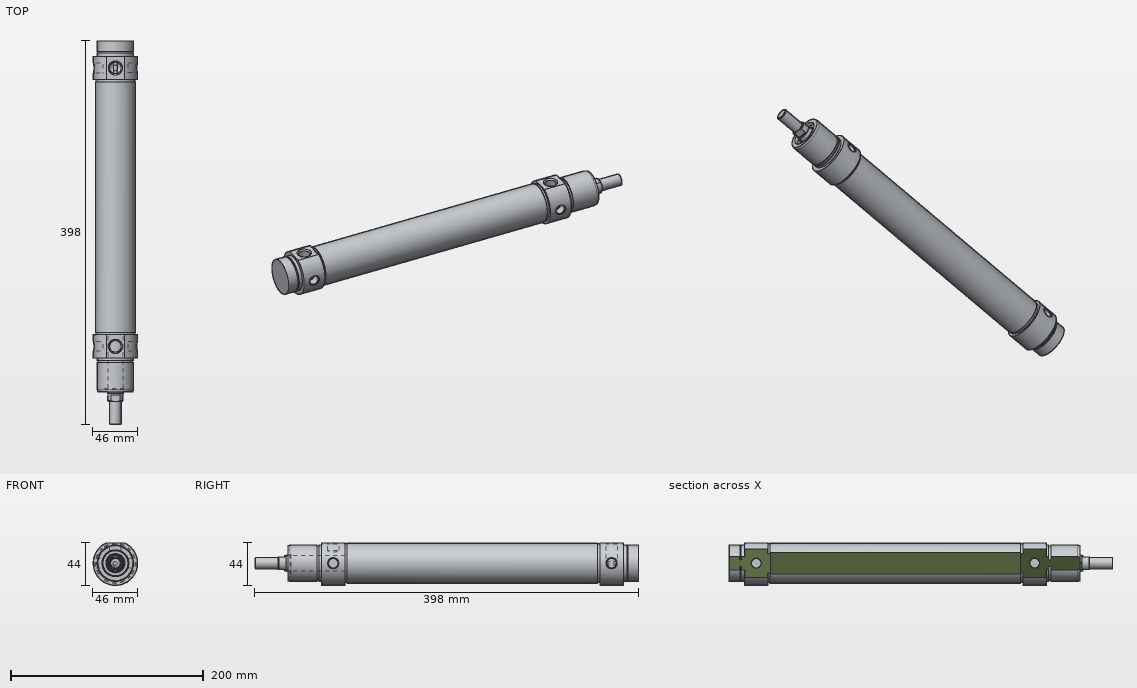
import cadquery as cq
import math

LENGTH = 398.0

THREAD_DIA = 12.5
THREAD_TIP_DIA = 10.0
THREAD_CHAMFER_LENGTH = 0.5
THREAD_LENGTH = 24.0
ROD_DIA = 16.0
ROD_CHAMFER = 0.8
FLAT_ACROSS = 13.0
FLAT_END_Y = 30.5

BARREL_DIA = 41.8
BARREL_START_Y = 95.5
BARREL_END_Y = 355.5

BLOCK_DIA = 46.0
BLOCK_LENGTH = 24.3
BLOCK_FLAT_Z = 21.0
NECK_DIA = 40.5
NECK_LENGTH = 2.5
HEAD_BLOCK_Y = BARREL_START_Y - NECK_LENGTH - BLOCK_LENGTH
CAP_BLOCK_Y = BARREL_END_Y + NECK_LENGTH

BOSS_DIA = 38.0
GROOVE_DIA = 36.0
NOSE_Y = 34.0
NOSE_CHAMFER_DIA = 36.5
NOSE_CHAMFER_LENGTH = 2.5
HEAD_GROOVE_Y = 64.0
HEAD_GROOVE_WIDTH = 2.5
CAP_GROOVE_Y = 385.5
CAP_GROOVE_WIDTH = 1.0

RECESS_DIA = 26.0
RECESS_MOUTH_DIA = 28.0
RECESS_DEPTH = 3.0
COLLAR_DIA = 20.0
COLLAR_HEIGHT = 0.8
LIP_BASE_DIA = 18.0
LIP_DIA = 16.7
LIP_CHAMFER_LENGTH = 0.8
LIP_END_Y = 32.0

PORT_DIA = 12.0
PORT_MOUTH_DIA = 14.7
PORT_DRILL_Z = 0.0
DRILL_POINT_ANGLE = 118.0
HEAD_CORE_DIA = 26.0
CAP_CORE_DIA = 4.0

PIVOT_DIA = 10.0
PIVOT_MOUTH_DIA = 11.5
PIVOT_DEPTH = 10.0


def turned(profile):
    """Revolve a closed (radius, y) profile about the Y axis."""
    return cq.Workplane("XY").polyline(profile).close().revolve(360, (0, 0, 0), (0, 1, 0))


def cylinder_along_y(diameter, start_y, end_y):
    disc = cq.Workplane("XZ", origin=(0, start_y, 0)).circle(diameter / 2)
    return disc.extrude(start_y - end_y)


def port_cutter(center_y, core_dia):
    """Drill with a countersunk mouth and a pointed tip, which leaves a core along the Y axis."""
    radius = PORT_DIA / 2
    mouth_radius = PORT_MOUTH_DIA / 2
    slope = math.tan(math.radians(DRILL_POINT_ANGLE / 2))
    drill = (
        cq.Workplane("XZ")
        .moveTo(0, PORT_DRILL_Z - radius / slope)
        .lineTo(radius, PORT_DRILL_Z)
        .lineTo(radius, BLOCK_FLAT_Z - (mouth_radius - radius))
        .lineTo(mouth_radius, BLOCK_FLAT_Z)
        .lineTo(mouth_radius, BLOCK_DIA)
        .lineTo(0, BLOCK_DIA)
        .close()
        .revolve(360, (0, 0, 0), (0, 1, 0))
        .translate((0, center_y, 0))
    )
    core = cylinder_along_y(core_dia, center_y - BLOCK_LENGTH / 2, center_y + BLOCK_LENGTH / 2)
    return drill.cut(core)


def pivot_cutter(center_y, side):
    """Blind countersunk hole from the +X (side = 1) or -X (side = -1) face of a block."""
    radius = PIVOT_DIA / 2
    mouth_radius = PIVOT_MOUTH_DIA / 2
    face_x = math.sqrt((BLOCK_DIA / 2) ** 2 - mouth_radius**2)
    return (
        cq.Workplane("XY")
        .moveTo(BLOCK_DIA / 2 - PIVOT_DEPTH, 0)
        .lineTo(BLOCK_DIA / 2 - PIVOT_DEPTH, radius)
        .lineTo(face_x - (mouth_radius - radius), radius)
        .lineTo(face_x, mouth_radius)
        .lineTo(BLOCK_DIA, mouth_radius)
        .lineTo(BLOCK_DIA, 0)
        .close()
        .revolve(360, (0, 0, 0), (1, 0, 0))
        .rotate((0, 0, 0), (0, 0, 1), 0 if side > 0 else 180)
        .translate((0, center_y, 0))
    )


def finish_block(body, block_y, core_dia):
    """Cut the top flat, the port and both pivot holes into a block."""
    center_y = block_y + BLOCK_LENGTH / 2
    above_flat = (
        cq.Workplane("XY", origin=(0, center_y, BLOCK_FLAT_Z))
        .rect(BLOCK_DIA, BLOCK_LENGTH)
        .extrude(BLOCK_DIA)
    )
    body = body.cut(above_flat).cut(port_cutter(center_y, core_dia))
    for side in (-1, 1):
        body = body.cut(pivot_cutter(center_y, side))
    return body


def make_rod():
    rod = turned(
        [
            (0, 0),
            (THREAD_TIP_DIA / 2, 0),
            (THREAD_DIA / 2, THREAD_CHAMFER_LENGTH),
            (THREAD_DIA / 2, THREAD_LENGTH),
            (ROD_DIA / 2 - ROD_CHAMFER, THREAD_LENGTH),
            (ROD_DIA / 2, THREAD_LENGTH + ROD_CHAMFER),
            (ROD_DIA / 2, BARREL_START_Y),
            (0, BARREL_START_Y),
        ]
    )
    for side in (-1, 1):
        flat = (
            cq.Workplane("XY", origin=(0, FLAT_END_Y / 2, side * (FLAT_ACROSS + ROD_DIA) / 2))
            .box(ROD_DIA, FLAT_END_Y, ROD_DIA)
        )
        rod = rod.cut(flat)
    return rod


def make_barrel():
    return cylinder_along_y(BARREL_DIA, BARREL_START_Y, BARREL_END_Y)


def make_head():
    recess_floor_y = NOSE_Y + RECESS_DEPTH
    collar_y = recess_floor_y - COLLAR_HEIGHT
    groove_end_y = HEAD_GROOVE_Y + HEAD_GROOVE_WIDTH
    block_end_y = HEAD_BLOCK_Y + BLOCK_LENGTH
    head = turned(
        [
            (ROD_DIA / 2, LIP_END_Y),
            (LIP_DIA / 2, LIP_END_Y + LIP_CHAMFER_LENGTH),
            (LIP_BASE_DIA / 2, collar_y),
            (COLLAR_DIA / 2, collar_y),
            (COLLAR_DIA / 2, recess_floor_y),
            (RECESS_DIA / 2, recess_floor_y),
            (RECESS_MOUTH_DIA / 2, NOSE_Y),
            (NOSE_CHAMFER_DIA / 2, NOSE_Y),
            (BOSS_DIA / 2, NOSE_Y + NOSE_CHAMFER_LENGTH),
            (BOSS_DIA / 2, HEAD_GROOVE_Y),
            (GROOVE_DIA / 2, HEAD_GROOVE_Y),
            (GROOVE_DIA / 2, groove_end_y),
            (BOSS_DIA / 2, groove_end_y),
            (BOSS_DIA / 2, HEAD_BLOCK_Y),
            (BLOCK_DIA / 2, HEAD_BLOCK_Y),
            (BLOCK_DIA / 2, block_end_y),
            (NECK_DIA / 2, block_end_y),
            (NECK_DIA / 2, BARREL_START_Y),
            (ROD_DIA / 2, BARREL_START_Y),
        ]
    )
    return finish_block(head, HEAD_BLOCK_Y, HEAD_CORE_DIA)


def make_cap():
    block_end_y = CAP_BLOCK_Y + BLOCK_LENGTH
    groove_end_y = CAP_GROOVE_Y + CAP_GROOVE_WIDTH
    cap = turned(
        [
            (0, BARREL_END_Y),
            (NECK_DIA / 2, BARREL_END_Y),
            (NECK_DIA / 2, CAP_BLOCK_Y),
            (BLOCK_DIA / 2, CAP_BLOCK_Y),
            (BLOCK_DIA / 2, block_end_y),
            (BOSS_DIA / 2, block_end_y),
            (BOSS_DIA / 2, CAP_GROOVE_Y),
            (GROOVE_DIA / 2, CAP_GROOVE_Y),
            (GROOVE_DIA / 2, groove_end_y),
            (BOSS_DIA / 2, groove_end_y),
            (BOSS_DIA / 2, LENGTH),
            (0, LENGTH),
        ]
    )
    return finish_block(cap, CAP_BLOCK_Y, CAP_CORE_DIA)


rod = make_rod()
barrel = make_barrel()
head = make_head()
cap = make_cap()

result = cq.Compound.makeCompound([rod.val(), barrel.val(), head.val(), cap.val()])